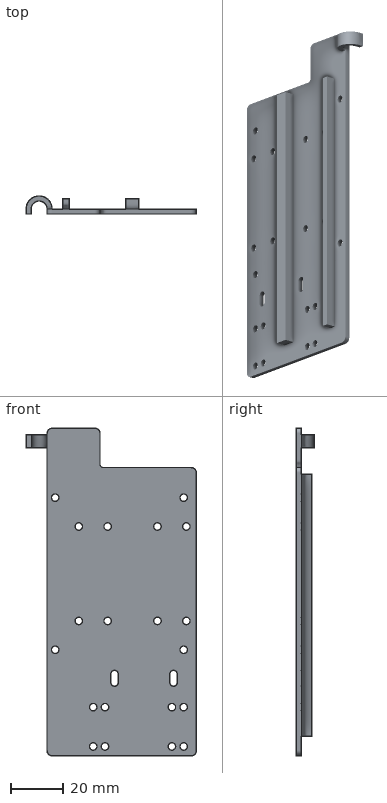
import cadquery as cq


plate_width = 57.0
plate_height = 125.0
plate_thickness = 2.0
tab_width = 20.2
shoulder_height = 110.0
corner_radius = 2.0
notch_radius = 1.2

hole_diameter = 2.8
outer_left, outer_bottom = 3.1, 40.5
outer_spacing_x, outer_spacing_z = 49.0, 58.0
inner_left, inner_bottom = 12.1, 51.5
inner_pair_spacing, inner_group_spacing = 11.0, 30.0
inner_spacing_z = 36.0
lower_left, lower_bottom = 17.6, 3.6
lower_pair_spacing, lower_group_spacing = 4.5, 30.0
lower_spacing_z = 15.0

slot_length = 6.0
slot_left = 25.8
slot_spacing = 22.5
slot_center_z = 29.6

rib_bottom = 7.5
rib_length = 100.0
rib_height = 4.0
narrow_rib_left, narrow_rib_width = 6.0, 2.5
wide_rib_left, wide_rib_width = 30.0, 5.0

hook_radius = 5.0
hook_wall = 2.0
hook_width = 5.0
hook_top = plate_height - 2.5
hook_center_x = hook_wall - hook_radius


def front_sketch():
    """Sketch plane on the front face, extruding toward the rear for negative distances."""
    return cq.Workplane("XZ")


def make_plate():
    outline = [
        (0, 0),
        (plate_width, 0),
        (plate_width, shoulder_height),
        (tab_width, shoulder_height),
        (tab_width, plate_height),
        (0, plate_height),
    ]
    plate = front_sketch().polyline(outline).close().extrude(-plate_thickness)
    notch_corner = (tab_width, plate_thickness / 2, shoulder_height)
    plate = plate.edges(cq.selectors.NearestToPointSelector(notch_corner)).fillet(notch_radius)
    outer_corners = [point for point in outline if point != (tab_width, shoulder_height)]
    for x, z in outer_corners:
        corner = (x, plate_thickness / 2, z)
        plate = plate.edges(cq.selectors.NearestToPointSelector(corner)).fillet(corner_radius)
    return plate


def paired_columns(left, pair_spacing, group_spacing):
    """X positions of two pairs; group_spacing runs between matching holes of the pairs."""
    return [left + group + offset for group in (0, group_spacing) for offset in (0, pair_spacing)]


def hole_grid(columns, bottom, spacing_z):
    return [(x, z) for x in columns for z in (bottom, bottom + spacing_z)]


def make_holes():
    outer_columns = [outer_left, outer_left + outer_spacing_x]
    inner_columns = paired_columns(inner_left, inner_pair_spacing, inner_group_spacing)
    lower_columns = paired_columns(lower_left, lower_pair_spacing, lower_group_spacing)
    centers = hole_grid(outer_columns, outer_bottom, outer_spacing_z)
    centers += hole_grid(inner_columns, inner_bottom, inner_spacing_z)
    centers += hole_grid(lower_columns, lower_bottom, lower_spacing_z)
    return front_sketch().pushPoints(centers).circle(hole_diameter / 2).extrude(-plate_thickness)


def make_slots():
    centers = [(slot_left, slot_center_z), (slot_left + slot_spacing, slot_center_z)]
    return front_sketch().pushPoints(centers).slot2D(slot_length, hole_diameter, 90).extrude(-plate_thickness)


def make_rib(left, width):
    rib = cq.Workplane().box(width, rib_height, rib_length, centered=False)
    return rib.translate((left, plate_thickness, rib_bottom))


def make_hook():
    """Half ring bending to the rear, with straight legs reaching the front face."""
    inner_radius = hook_radius - hook_wall
    hook = (
        cq.Workplane("XY", origin=(hook_center_x, plate_thickness, hook_top - hook_width))
        .moveTo(-hook_radius, -plate_thickness)
        .lineTo(-hook_radius, 0)
        .threePointArc((0, hook_radius), (hook_radius, 0))
        .lineTo(hook_radius, -plate_thickness)
        .lineTo(inner_radius, -plate_thickness)
        .lineTo(inner_radius, 0)
        .threePointArc((0, inner_radius), (-inner_radius, 0))
        .lineTo(-inner_radius, -plate_thickness)
        .close()
        .extrude(hook_width)
    )
    return hook


result = (
    make_plate()
    .cut(make_holes())
    .cut(make_slots())
    .union(make_rib(narrow_rib_left, narrow_rib_width))
    .union(make_rib(wide_rib_left, wide_rib_width))
    .union(make_hook())
)